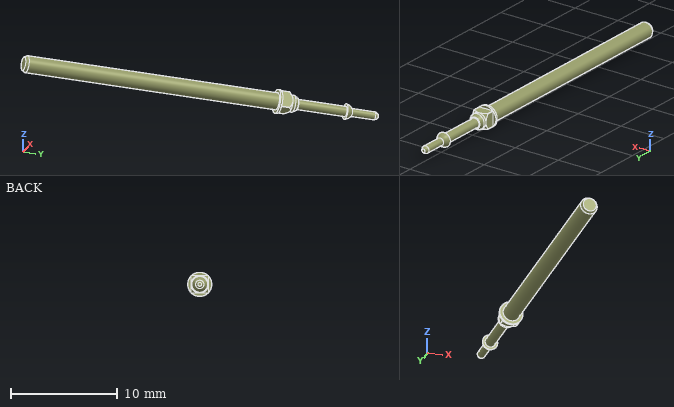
import cadquery as cq
import math


length = 35.7
tail_end_radius = 0.65
body_radius = 0.82
flange_radius = 1.15
rod_radius = 0.5
collar_radius = 0.75
pin_radius = 0.4
tip_radius = 0.18

tail_chamfer = 0.3
flange_start = 25.5
flange_thickness = 0.2
square_length = 1.15
neck_length = 0.3
shoulder_length = 0.4
shoulder_top_radius = 0.6
collar_start = 32.4
collar_length = 0.6
collar_bulge = 0.07
tip_length = 0.35
tip_bulge = 0.05

square_side = 2 * body_radius
square_corner_radius = flange_radius

flange_end = flange_start + flange_thickness
square_end = flange_end + square_length
neck_end = square_end + neck_length
shoulder_end = neck_end + shoulder_length
collar_end = collar_start + collar_length
tip_start = length - tip_length
square_lead = square_corner_radius - body_radius


def revolve_about_y(profile):
    """Turn a closed radius / Y profile one full turn about the Y axis."""
    return profile.close().revolve(360, (0, 0, 0), (0, 1, 0))


def arc_middle(start, end, bulge):
    """Point lying a given distance outward from the middle of a chord."""
    run_radius = end[0] - start[0]
    run_y = end[1] - start[1]
    chord = math.hypot(run_radius, run_y)
    middle_radius = (start[0] + end[0]) / 2 + bulge * run_y / chord
    middle_y = (start[1] + end[1]) / 2 - bulge * run_radius / chord
    return (middle_radius, middle_y)


def make_barrel():
    """Chamfered tail and the long body behind the flange."""
    barrel = cq.Workplane("XY").moveTo(0, 0).lineTo(tail_end_radius, 0)
    barrel = barrel.lineTo(body_radius, tail_chamfer)
    barrel = barrel.lineTo(body_radius, flange_start).lineTo(0, flange_start)
    return revolve_about_y(barrel)


def make_flange():
    """Thin stop flange."""
    flange = cq.Workplane("XY").moveTo(0, flange_start).lineTo(flange_radius, flange_start)
    flange = flange.lineTo(flange_radius, flange_end).lineTo(0, flange_end)
    return revolve_about_y(flange)


def make_square():
    """Square section with turned corners and a conical lead-in."""
    blank = cq.Workplane("XY").moveTo(0, flange_end).lineTo(square_corner_radius, flange_end)
    blank = blank.lineTo(square_corner_radius, square_end - square_lead)
    blank = blank.lineTo(body_radius, square_end).lineTo(0, square_end)
    bar_center = (0, (flange_end + square_end) / 2, 0)
    bar = cq.Workplane("XY").box(square_side, square_length, square_side).translate(bar_center)
    return revolve_about_y(blank).intersect(bar)


def make_plunger():
    """Neck and shoulder, then the rod, domed collar, pin and rounded tip."""
    shoulder_foot = (body_radius, neck_end)
    shoulder_top = (shoulder_top_radius, shoulder_end)
    collar_foot = (collar_radius, collar_start)
    collar_top = (pin_radius, collar_end)
    tip_foot = (pin_radius, tip_start)
    tip_top = (tip_radius, length)

    plunger = cq.Workplane("XY").moveTo(0, square_end).lineTo(body_radius, square_end)
    plunger = plunger.lineTo(*shoulder_foot).lineTo(*shoulder_top)
    plunger = plunger.lineTo(rod_radius, shoulder_end).lineTo(rod_radius, collar_start)
    plunger = plunger.lineTo(*collar_foot)
    plunger = plunger.threePointArc(arc_middle(collar_foot, collar_top, collar_bulge), collar_top)
    plunger = plunger.lineTo(*tip_foot)
    plunger = plunger.threePointArc(arc_middle(tip_foot, tip_top, tip_bulge), tip_top)
    plunger = plunger.lineTo(0, length)
    return revolve_about_y(plunger)


result = make_barrel().union(make_flange()).union(make_square()).union(make_plunger())